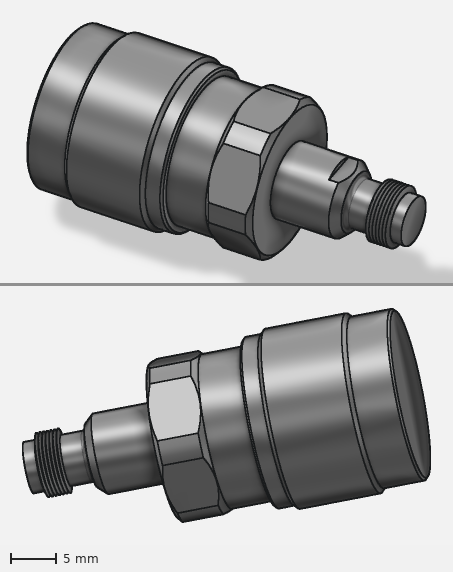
import cadquery as cq
import math

total_length = 43.45

sleeve_radius = 10.15
sleeve_end_radius = 9.7
sleeve_step = sleeve_radius - sleeve_end_radius
band_start = 4.85
band_end = 15.0
sleeve_end = 17.05
sleeve_chamfer = 0.25

body_radius = 8.75
nut_start = 22.0
nut_end = 27.93
nut_across_flats = 17.55
nut_corner_radius = 9.42
nut_front_chamfer = 0.7
nut_back_chamfer = 0.55

stem_radius = 4.55
stem_cone_start = 35.22
stem_end = 36.25
stem_end_radius = 3.6
flat_start = 34.05
flat_height = 3.95

tube_radius = 2.9
tube_fillet = 0.5
thread_start = 39.17
thread_pitch = 0.413
thread_count = 7
thread_radius = 3.65


def revolve_about_x(profile):
    """Revolve a closed XY profile fully around the X axis."""
    return profile.close().revolve(360, (0, 0, 0), (1, 0, 0))


def make_sleeve_and_body():
    profile = (
        cq.Workplane("XY")
        .moveTo(0, 0)
        .lineTo(0, sleeve_end_radius - sleeve_chamfer)
        .lineTo(sleeve_chamfer, sleeve_end_radius)
        .lineTo(band_start, sleeve_end_radius)
        .lineTo(band_start + sleeve_step, sleeve_radius)
        .lineTo(band_end - sleeve_step, sleeve_radius)
        .lineTo(band_end, sleeve_end_radius)
        .lineTo(sleeve_end - sleeve_chamfer, sleeve_end_radius)
        .lineTo(sleeve_end, sleeve_end_radius - sleeve_chamfer)
        .lineTo(sleeve_end, body_radius)
        .lineTo(nut_end, body_radius)
        .lineTo(nut_end, 0)
    )
    return revolve_about_x(profile)


def make_nut():
    hexagon = (
        cq.Workplane("YZ", origin=(nut_start, 0, 0))
        .polygon(6, nut_across_flats / math.cos(math.pi / 6))
        .extrude(nut_end - nut_start)
    )
    blank = (
        cq.Workplane("XY")
        .moveTo(nut_start, 0)
        .lineTo(nut_start, body_radius)
        .lineTo(nut_start + nut_front_chamfer, nut_corner_radius)
        .lineTo(nut_end - nut_back_chamfer, nut_corner_radius)
        .lineTo(nut_end, body_radius)
        .lineTo(nut_end, 0)
    )
    return hexagon.intersect(revolve_about_x(blank))


def make_stem():
    profile = (
        cq.Workplane("XY")
        .moveTo(nut_end, 0)
        .lineTo(nut_end, stem_radius)
        .lineTo(stem_cone_start, stem_radius)
        .lineTo(stem_end, stem_end_radius)
        .lineTo(stem_end, 0)
    )
    flat_cut = cq.Workplane("XY").box(
        stem_end - flat_start, 2 * stem_radius, stem_radius, centered=(False, True, False)
    ).translate((flat_start, 0, flat_height))
    return revolve_about_x(profile).cut(flat_cut)


def make_threaded_tube():
    profile = (
        cq.Workplane("XY")
        .moveTo(stem_end, 0)
        .lineTo(stem_end, tube_radius + tube_fillet)
        .radiusArc((stem_end + tube_fillet, tube_radius), -tube_fillet)
        .lineTo(thread_start, tube_radius)
    )
    for ridge in range(thread_count):
        ridge_start = thread_start + ridge * thread_pitch
        profile = profile.lineTo(ridge_start + thread_pitch / 2, thread_radius)
        profile = profile.lineTo(ridge_start + thread_pitch, tube_radius)
    profile = profile.lineTo(total_length, tube_radius).lineTo(total_length, 0)
    return revolve_about_x(profile)


result = make_sleeve_and_body().union(make_nut()).union(make_stem()).union(make_threaded_tube())